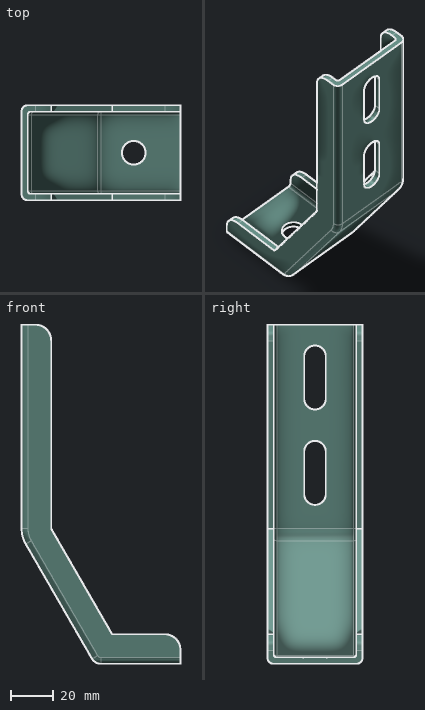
import cadquery as cq
import math

height = 160.0
depth = 75.0
width = 45.0

wall = 3.0
flange_height = 14.0
outer_edge_radius = 3.0
inner_edge_radius = 1.5
flange_end_radius = 7.5

slope_angle = 30.0
upper_bend_height = 60.0
upper_bend_radius = 14.4
lower_bend_radius = 5.0

slot_width = 10.0
slot_length = 30.0
slot_top_margin = 10.0
slot_pitch = 45.0
hole_diameter = 11.0
hole_end_distance = 22.0

upper_turn = math.radians(slope_angle)
lower_turn = math.radians(90.0 - slope_angle)
lower_bend_x = upper_bend_height * math.tan(upper_turn)


def web_corners(offset):
    """Corners of the web line moved inward by offset, as (x, z): upper bend, lower bend."""
    upper = (offset, upper_bend_height + offset * math.tan(upper_turn / 2))
    lower = (lower_bend_x + offset * math.tan(lower_turn / 2), offset)
    return upper, lower


def extrude_side(points, thickness):
    """Extrude an XZ outline symmetrically about the mid plane Y = 0."""
    return cq.Workplane("XZ").polyline(points).close().extrude(thickness / 2, both=True)


def round_bends(body, offset):
    """Round the two bends of a face that lies offset inside the outer web face."""
    radii = (upper_bend_radius - offset, lower_bend_radius - offset)
    for (x, z), radius in zip(web_corners(offset), radii):
        body = body.edges(cq.selectors.NearestToPointSelector((x, 0, z))).fillet(radius)
    return body


def make_envelope():
    """Solid bent bar with rounded flange ends and rounded long edges."""
    outer_upper, outer_lower = web_corners(0)
    inner_upper, inner_lower = web_corners(flange_height)
    body = extrude_side(
        [
            (0, height),
            outer_upper,
            outer_lower,
            (depth, 0),
            (depth, flange_height),
            inner_lower,
            inner_upper,
            (flange_height, height),
        ],
        width,
    )
    body = round_bends(body, 0)
    for x, z in ((flange_height, height), (depth, flange_height)):
        corner = cq.selectors.NearestToPointSelector((x, 0, z))
        body = body.edges(corner).fillet(flange_end_radius)
    return body.edges("|Z and <X").fillet(outer_edge_radius)


def make_cavity():
    """Space between the flanges, running out past both open ends."""
    upper, lower = web_corners(wall)
    far_x = 2 * depth
    far_z = 2 * height
    body = extrude_side([(wall, far_z), upper, lower, (far_x, wall), (far_x, far_z)], width - 2 * wall)
    body = round_bends(body, wall)
    return body.edges("|Z and <X").fillet(inner_edge_radius)


def make_slots():
    """Two vertical slots through the upright web."""
    first_z = height - slot_top_margin - slot_length / 2
    centers = [(0, first_z - i * slot_pitch) for i in range(2)]
    return cq.Workplane("YZ").pushPoints(centers).slot2D(slot_length, slot_width, 90).extrude(flange_height)


def make_foot_hole():
    """Round hole through the foot."""
    hole = cq.Workplane("XY").center(depth - hole_end_distance, 0)
    return hole.circle(hole_diameter / 2).extrude(flange_height)


result = make_envelope().cut(make_cavity()).cut(make_slots()).cut(make_foot_hole())